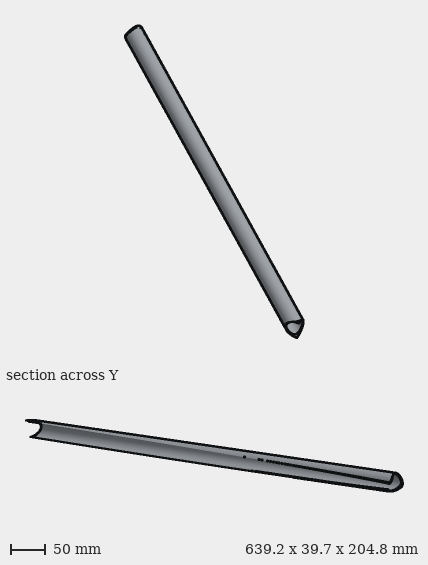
import cadquery as cq
import math

outer_radius = 14.0
wall = 1.55
inner_radius = outer_radius - wall

left_tips = cq.Vector(0, 0, 0)
right_joint = cq.Vector(633, 12.0, -178.5)
axis = right_joint - left_tips

left_crossing_radius = 16.0
right_crossing_radius = outer_radius
left_crossing_axis = cq.Vector(0, 1, -1)
right_crossing_axis = cq.Vector(0, 1, 0)

left_setback = math.sqrt(left_crossing_radius**2 - outer_radius**2)
left_joint = left_tips - axis.normalized() * left_setback

crossing_half_length = 5 * outer_radius
end_allowance = 2 * outer_radius


def rod(start, direction, length, radius):
    """Solid cylinder from a start point along a direction."""
    return cq.Workplane(obj=cq.Solid.makeCylinder(radius, length, start, direction))


def crossing_tube(joint, direction, radius):
    """Cylinder centred on a joint, used to cut the saddle."""
    start = joint - direction.normalized() * crossing_half_length
    return rod(start, direction, 2 * crossing_half_length, radius)


def straight_tube():
    """Hollow tube reaching past the left tips and the right joint centre."""
    start = left_tips - axis.normalized() * end_allowance
    length = axis.Length + 2 * end_allowance
    outside = rod(start, axis, length, outer_radius)
    bore = rod(start, axis, length, inner_radius)
    return outside.cut(bore)


saddled = (
    straight_tube()
    .cut(crossing_tube(left_joint, left_crossing_axis, left_crossing_radius))
    .cut(crossing_tube(right_joint, right_crossing_axis, right_crossing_radius))
)

result = cq.Workplane(obj=max(saddled.solids().vals(), key=lambda piece: piece.Volume()))